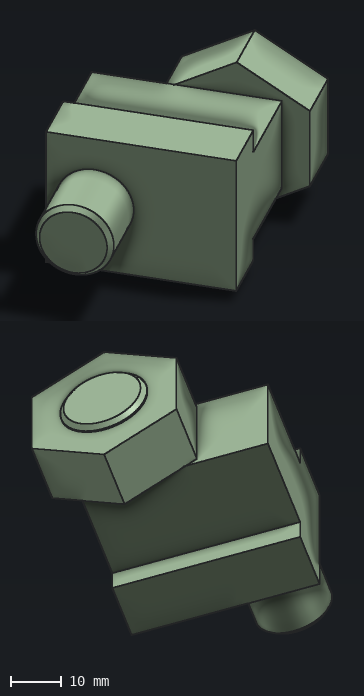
import cadquery as cq
import math

block_width = 39.0
flange_height = 30.0
flange_depth = 12.0
neck_height = 20.0
neck_depth = 20.0

pin_diameter = 16.0
pin_tip_diameter = 13.85
pin_length = 15.0
pin_chamfer_length = 1.1
pin_x = 10.0

hex_across_flats = 30.0
hex_depth = 12.7
hex_x = 29.7

overall_length = 61
end_diameter = 18.0
end_tip_diameter = 16.0
end_chamfer_length = 1.0

neck_back = flange_depth + neck_depth
hex_back = neck_back + hex_depth
end_length = overall_length - pin_length - hex_back


def centred_box(height, front, depth):
    """Full-width box, centred on Z, running back from a front plane."""
    return cq.Workplane("XY").box(
        block_width, depth, height, centered=(False, False, True)
    ).translate((0, front, 0))


def chamfered_pin(center_x, base_y, length, diameter, tip_diameter, chamfer_length, direction):
    """Round pin along Y with a conical tip; direction is +1 or -1."""
    axis = cq.Vector(0, direction, 0)
    base = cq.Vector(center_x, base_y, 0)
    shank_length = length - chamfer_length
    shank = cq.Solid.makeCylinder(diameter / 2, shank_length, base, axis)
    tip = cq.Solid.makeCone(
        diameter / 2, tip_diameter / 2, chamfer_length, base + axis * shank_length, axis
    )
    return cq.Workplane("XY").add(shank.fuse(tip))


def hex_head():
    """Hexagonal prism along Y with flats facing -X and +X."""
    corner_diameter = hex_across_flats / math.cos(math.radians(30))
    prism = cq.Workplane("XY").polygon(6, corner_diameter).extrude(hex_depth)
    upright = prism.rotate((0, 0, 0), (0, 0, 1), 90).rotate((0, 0, 0), (1, 0, 0), -90)
    return upright.translate((hex_x, neck_back, 0))


flange = centred_box(flange_height, 0, flange_depth)
neck = centred_box(neck_height, flange_depth, neck_depth)
front_pin = chamfered_pin(
    pin_x, 0, pin_length, pin_diameter, pin_tip_diameter, pin_chamfer_length, -1
)
rear_end = chamfered_pin(
    hex_x, hex_back, end_length, end_diameter, end_tip_diameter, end_chamfer_length, 1
)

result = flange.union(neck).union(front_pin).union(hex_head()).union(rear_end)